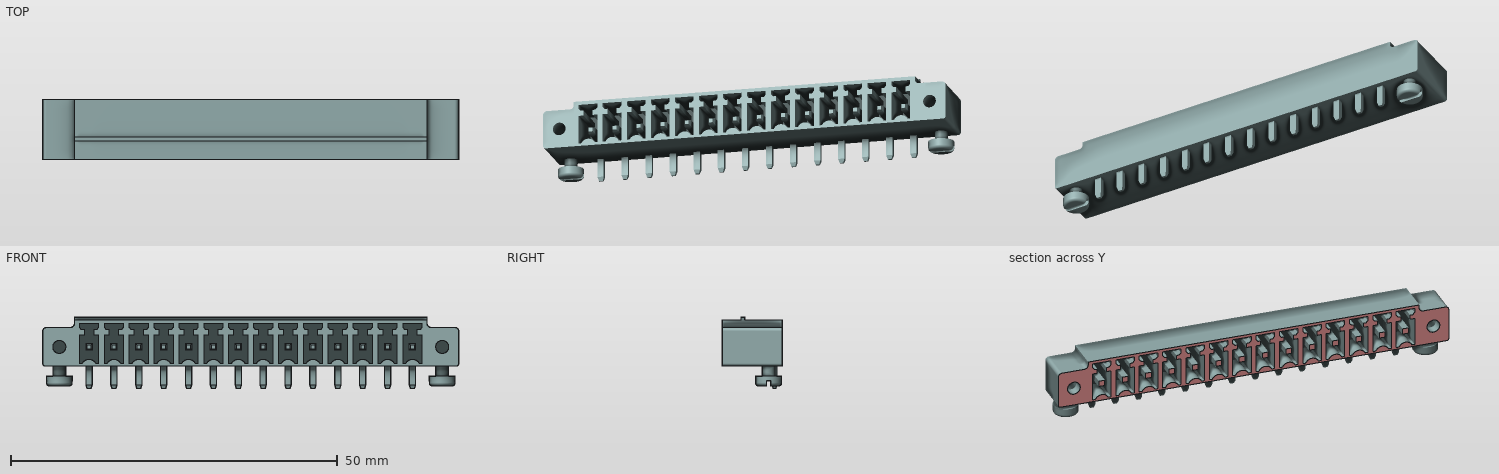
import cadquery as cq


LENGTH = 63.73
DEPTH = 9.2
EAR_HEIGHT = 5.95
BODY_HEIGHT = 7.1
EAR_LENGTH = 4.85
EAR_TOP_RADIUS = 0.6
EAR_BOTTOM_RADIUS = 0.4
EAR_ROOT_RADIUS = 0.6
BODY_LENGTH = LENGTH - 2 * EAR_LENGTH

AXIS_Z = 2.95

RIDGE_WIDTH = 0.6
RIDGE_HEIGHT = 0.4
RIDGE_CENTER_Y = 3.17

CONTACT_COUNT = 14
PITCH = 3.81
CHAMBER_DEPTH = 7.0
CHAMBER_WIDTH = 2.95
CHAMBER_FLOOR_Z = 0.4
CHAMBER_TOP_Z = 6.55
NECK_WIDTH = 1.45
NECK_BOTTOM_Z = 4.8
NECK_TOP_Z = 5.6
CORNER_CUT_X = 0.3
CORNER_CUT_Z = 0.35
FLOOR_RIB_WIDTH = 2.1
FLOOR_RIB_HEIGHT = 0.65

PIN_SIZE = 1.0
PIN_TIP_TAPER = 0.2
PIN_TIP_LENGTH = 0.6
PIN_FRONT_Y = 1.5
TAIL_THICKNESS = 0.8
TAIL_TO_BACK = 1.2
TAIL_CENTER_Y = DEPTH - TAIL_TO_BACK
TAIL_END_Z = -3.45

FIXING_INSET = 2.55
FIXING_SPACING = LENGTH - 2 * FIXING_INSET
FRONT_HOLE_DIAMETER = 2.0
FRONT_HOLE_DEPTH = 5.0
SHANK_DIAMETER = 2.0
HEAD_DIAMETER = 4.0
HEAD_TOP_Z = -1.5
HEAD_BOTTOM_Z = -3.05
HEAD_EDGE_RADIUS = 0.5
SCREW_TO_BACK = 2.1
SCREW_CENTER_Y = DEPTH - SCREW_TO_BACK
SLOT_WIDTH = 0.6
SLOT_DEPTH = 0.8


def front_plane(y):
    """Workplane facing the front (-Y), at the given depth; local axes are X and Z."""
    return cq.Workplane("XZ", origin=(0, y, 0))


def make_housing():
    ears = cq.Workplane("XY").box(LENGTH, DEPTH, EAR_HEIGHT, centered=(True, False, False))
    ears = ears.edges("|Y and >Z").fillet(EAR_TOP_RADIUS)
    ears = ears.edges("|Y and <Z").fillet(EAR_BOTTOM_RADIUS)
    body = cq.Workplane("XY").box(BODY_LENGTH, DEPTH, BODY_HEIGHT, centered=(True, False, False))
    housing = ears.union(body)
    for side in (-1, 1):
        root = cq.selectors.NearestToPointSelector((side * BODY_LENGTH / 2, DEPTH / 2, EAR_HEIGHT))
        housing = housing.edges(root).fillet(EAR_ROOT_RADIUS)
    ridge = (
        cq.Workplane("XY", origin=(0, RIDGE_CENTER_Y, BODY_HEIGHT))
        .rect(BODY_LENGTH, RIDGE_WIDTH)
        .extrude(RIDGE_HEIGHT)
    )
    return housing.union(ridge)


def make_chamber():
    """Space inside one contact chamber, centred on X = 0, open at the front."""
    half_width = CHAMBER_WIDTH / 2
    half_neck = NECK_WIDTH / 2
    half_rib = FLOOR_RIB_WIDTH / 2
    return (
        front_plane(0)
        .moveTo(-half_width, CHAMBER_FLOOR_Z)
        .lineTo(-half_rib, CHAMBER_FLOOR_Z)
        .threePointArc((0, CHAMBER_FLOOR_Z + FLOOR_RIB_HEIGHT), (half_rib, CHAMBER_FLOOR_Z))
        .lineTo(half_width, CHAMBER_FLOOR_Z)
        .lineTo(half_width, NECK_BOTTOM_Z)
        .lineTo(half_neck, NECK_BOTTOM_Z)
        .lineTo(half_neck, NECK_TOP_Z)
        .lineTo(half_width - CORNER_CUT_X, NECK_TOP_Z)
        .lineTo(half_width, NECK_TOP_Z + CORNER_CUT_Z)
        .lineTo(half_width, CHAMBER_TOP_Z)
        .lineTo(-half_width, CHAMBER_TOP_Z)
        .lineTo(-half_width, NECK_TOP_Z + CORNER_CUT_Z)
        .lineTo(-half_width + CORNER_CUT_X, NECK_TOP_Z)
        .lineTo(-half_neck, NECK_TOP_Z)
        .lineTo(-half_neck, NECK_BOTTOM_Z)
        .lineTo(-half_width, NECK_BOTTOM_Z)
        .close()
        .extrude(-CHAMBER_DEPTH)
    )


def pointed_bar(tip_plane, thickness, length):
    """Bar with a tip tapered on all four sides; it grows from the tip along the plane's normal."""
    tip = (
        tip_plane.rect(PIN_SIZE - 2 * PIN_TIP_TAPER, thickness - 2 * PIN_TIP_TAPER)
        .workplane(offset=PIN_TIP_LENGTH)
        .rect(PIN_SIZE, thickness)
        .loft(ruled=True)
    )
    bar_plane = tip_plane.workplane(offset=PIN_TIP_LENGTH)
    bar = bar_plane.rect(PIN_SIZE, thickness).extrude(length - PIN_TIP_LENGTH)
    return tip.union(bar)


def make_contact():
    """Angled contact: a pin in the chamber and a solder tail below the housing."""
    pin_plane = cq.Workplane(cq.Plane((0, PIN_FRONT_Y, AXIS_Z), (1, 0, 0), (0, 1, 0)))
    tail_plane = cq.Workplane(cq.Plane((0, TAIL_CENTER_Y, TAIL_END_Z), (1, 0, 0), (0, 0, 1)))
    pin = pointed_bar(pin_plane, PIN_SIZE, TAIL_CENTER_Y - PIN_FRONT_Y)
    tail = pointed_bar(tail_plane, TAIL_THICKNESS, AXIS_Z - TAIL_END_Z)
    return pin.union(tail)


def make_screw():
    """Slotted screw below an ear, centred on X = 0."""
    head_height = HEAD_TOP_Z - HEAD_BOTTOM_Z
    axis_plane = cq.Workplane("XY", origin=(0, SCREW_CENTER_Y, HEAD_BOTTOM_Z))
    head = axis_plane.circle(HEAD_DIAMETER / 2).extrude(head_height)
    head = head.faces("<Z").edges().fillet(HEAD_EDGE_RADIUS)
    slot = axis_plane.rect(HEAD_DIAMETER, SLOT_WIDTH).extrude(SLOT_DEPTH)
    shank = axis_plane.workplane(offset=head_height).circle(SHANK_DIAMETER / 2).extrude(-HEAD_TOP_Z)
    return head.cut(slot).union(shank)


def make_front_hole():
    """Blind hole in the front of an ear, centred on X = 0."""
    return front_plane(0).center(0, AXIS_Z).circle(FRONT_HOLE_DIAMETER / 2).extrude(-FRONT_HOLE_DEPTH)


def row_of(shape, count, spacing):
    """Copies of a shape in a row along X, centred on X = 0."""
    places = cq.Workplane("XY").rarray(spacing, 1, count, 1)
    return places.eachpoint(lambda place: shape.val().moved(place))


def make_part():
    part = make_housing()
    part = part.cut(row_of(make_chamber(), CONTACT_COUNT, PITCH))
    part = part.union(row_of(make_contact(), CONTACT_COUNT, PITCH))
    part = part.cut(row_of(make_front_hole(), 2, FIXING_SPACING))
    return part.union(row_of(make_screw(), 2, FIXING_SPACING))


result = make_part()